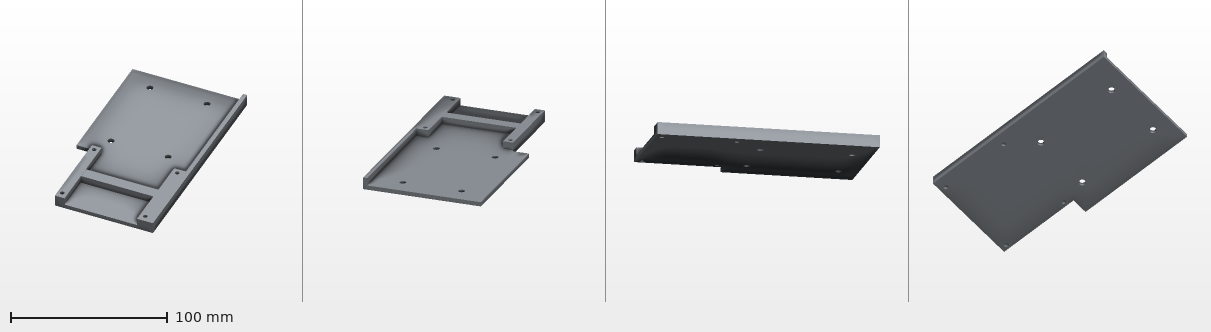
import cadquery as cq

width = 80.4
length = 145.1
height = 8.0
floor_thickness = 2.9

notch_width = 11.6
notch_length = 58.9

rail_length = 57.2
left_rail_width = 6.8
right_rail_width = 11.2
lip_width = 2.9

groove_front = 25.0
groove_depth = 0.7

bar_front = 25.4
bar_back = 33.1
bar_drop = 0.1

rail_hole_diameter = 2.9
rail_hole_left = 14.8
rail_hole_spacing_x = 58.2
rail_hole_front = 4.5
rail_hole_spacing_y = 49.0
plate_hole_diameter = 4.4
plate_hole_left = 18.1
plate_hole_spacing_x = 40.0
plate_hole_front = 72.1
plate_hole_spacing_y = 59.9

bar_left = notch_width + left_rail_width
bar_right = width - right_rail_width


def block(x_min, x_max, y_min, y_max, top):
    """Box standing on the underside of the part."""
    return (
        cq.Workplane("XY")
        .box(x_max - x_min, y_max - y_min, top, centered=False)
        .translate((x_min, y_min, 0))
    )


def hole_pattern(diameter, left, front, spacing_x, spacing_y):
    """Four through holes at the corners of a rectangle."""
    return (
        cq.Workplane("XY")
        .center(left + spacing_x / 2, front + spacing_y / 2)
        .rect(spacing_x, spacing_y, forConstruction=True)
        .vertices()
        .circle(diameter / 2)
        .extrude(height)
    )


body = block(0, width, notch_length, length, floor_thickness)
body = body.union(block(notch_width, width, 0, groove_front, floor_thickness))
body = body.union(block(notch_width, width, groove_front, bar_front, floor_thickness - groove_depth))
body = body.union(block(notch_width, width, bar_front, notch_length, floor_thickness))

body = body.union(block(notch_width, bar_left, 0, rail_length, height))
body = body.union(block(bar_right, width, 0, rail_length, height))
body = body.union(block(width - lip_width, width, 0, length, height))
body = body.union(block(bar_left, bar_right, bar_front, bar_back, height - bar_drop))

body = body.cut(
    hole_pattern(
        rail_hole_diameter, rail_hole_left, rail_hole_front, rail_hole_spacing_x, rail_hole_spacing_y
    )
)
body = body.cut(
    hole_pattern(
        plate_hole_diameter, plate_hole_left, plate_hole_front, plate_hole_spacing_x, plate_hole_spacing_y
    )
)

result = body.clean()